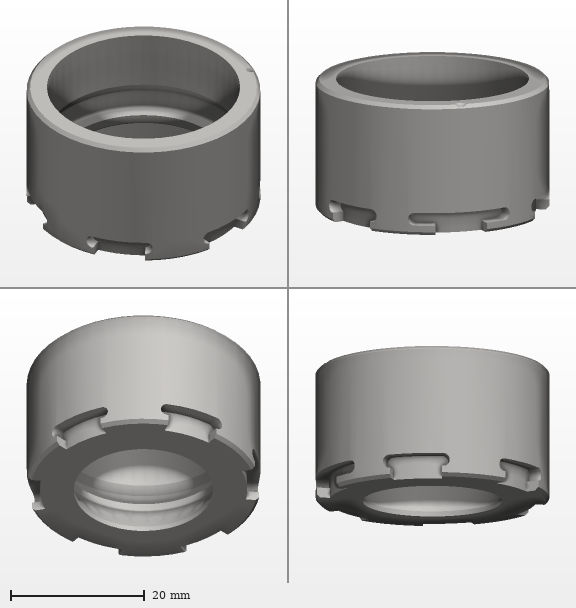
import cadquery as cq
import math

outer_diameter = 35
height = 20.0
edge_chamfer = 0.52

mouth_diameter = 28.9
recess_diameter = 30.3
mouth_bottom = 11.27
recess_top = 9.85
shoulder_height = 6.8
recess_fillet = 0.45
throat_diameter = 26.0
throat_bottom = 5.53
seat_diameter = 26.18
seat_height = 5.35
seat_cone_angle = 60
opening_diameter = 20.9

slot_count = 6
slot_width = 1.95
slot_axis_height = 2.5
slot_floor_diameter = 31.0
slot_half_angle = 13.6
wide_slot_half_angle = 23.4
entry_half_angle = 9.9
back_angle = 90
cut_margin = 1.75

dimple_diameter = 1.82
dimple_ball_radius = 1.4
dimple_radius = outer_diameter / 2 - edge_chamfer

outer_radius = outer_diameter / 2
slot_floor_radius = slot_floor_diameter / 2
slot_top = slot_axis_height + slot_width / 2
slot_bottom = slot_axis_height - slot_width / 2
cut_radius = outer_radius + cut_margin


def make_body():
    """Revolve the ring section, with its chamfered rims and stepped bore."""
    mouth_radius = mouth_diameter / 2
    recess_radius = recess_diameter / 2
    throat_radius = throat_diameter / 2
    opening_radius = opening_diameter / 2
    seat_depth = (seat_diameter / 2 - opening_radius) / math.tan(math.radians(seat_cone_angle / 2))
    fillet_drop = recess_fillet * (1 - math.sqrt(0.5))
    section = (
        cq.Workplane("XZ")
        .moveTo(opening_radius, 0)
        .lineTo(outer_radius - edge_chamfer, 0)
        .lineTo(outer_radius, edge_chamfer)
        .lineTo(outer_radius, height - edge_chamfer)
        .lineTo(outer_radius - edge_chamfer, height)
        .lineTo(mouth_radius, height)
        .lineTo(mouth_radius, mouth_bottom)
        .lineTo(recess_radius, recess_top)
        .lineTo(recess_radius, shoulder_height + recess_fillet)
        .threePointArc(
            (recess_radius - fillet_drop, shoulder_height + fillet_drop),
            (recess_radius - recess_fillet, shoulder_height),
        )
        .lineTo(throat_radius, shoulder_height)
        .lineTo(throat_radius, throat_bottom)
        .lineTo(seat_diameter / 2, seat_height)
        .lineTo(opening_radius, seat_height - seat_depth)
        .close()
    )
    return section.revolve(360, (0, 0, 0), (0, 1, 0))


def radial_cut(angle, round_ended):
    """Flat-bottomed radial cut: a round hole, or a straight-sided cut open below."""
    length = cut_radius - slot_floor_radius
    if round_ended:
        tool = cq.Workplane("YZ").center(0, slot_axis_height).circle(slot_width / 2).extrude(length)
    else:
        depth = slot_bottom + cut_margin
        tool = cq.Workplane("XY").box(length, slot_width, depth, centered=(False, True, False))
        tool = tool.translate((0, 0, -cut_margin))
    tool = tool.translate((slot_floor_radius, 0, 0))
    return tool.rotate((0, 0, 0), (0, 0, 1), angle)


def swept_sector(half_angle, bottom, top, angle):
    """Ring sector outside the slot floor, centred on the given angle."""
    profile = (
        cq.Workplane("XZ")
        .moveTo(slot_floor_radius, bottom)
        .lineTo(cut_radius, bottom)
        .lineTo(cut_radius, top)
        .lineTo(slot_floor_radius, top)
        .close()
    )
    sector = profile.revolve(2 * half_angle, (0, 0, 0), (0, 1, 0))
    return sector.rotate((0, 0, 0), (0, 0, 1), angle - half_angle)


def make_slot(angle, half_angle):
    """Round-ended slot along the rim, with a shorter entry open to the bottom face."""
    slot = swept_sector(half_angle, slot_bottom, slot_top, angle)
    slot = slot.union(swept_sector(entry_half_angle, -cut_margin, slot_bottom, angle))
    for side in (-1, 1):
        slot = slot.union(radial_cut(angle + side * half_angle, True))
        slot = slot.union(radial_cut(angle + side * entry_half_angle, False))
    return slot


result = make_body()

for index in range(slot_count):
    slot_angle = back_angle + index * 360 / slot_count
    width_angle = wide_slot_half_angle if index == 0 else slot_half_angle
    result = result.cut(make_slot(slot_angle, width_angle))

ball_offset = math.sqrt(dimple_ball_radius**2 - (dimple_diameter / 2) ** 2)
ball = cq.Workplane("XY").sphere(dimple_ball_radius)
result = result.cut(ball.translate((0, dimple_radius, height + ball_offset)))